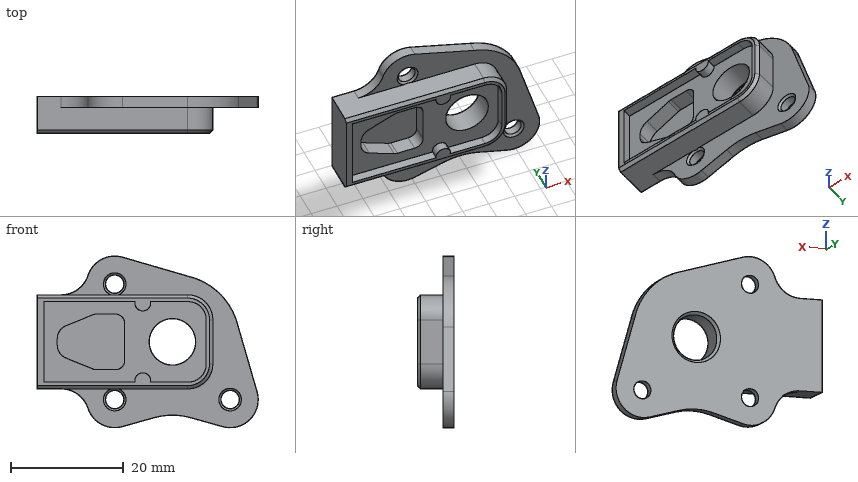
import cadquery as cq
import math

length = 39.25
height = 30.5
total_depth = 6.55
plate_depth = 2.0

ear_offset = 10.25
ear_radius = height / 2 - ear_offset
left_end = ear_offset + ear_radius - length
shoulder_radius = 12.0
shoulder_end_angle = math.radians(12.8)
waist_radius = 12.0
waist_height = -13.05
screw_diameter = 3.2
screw_chamfer = 0.4
bore_diameter = 8.2
bore_chamfer = 0.5

body_height = 16.72
body_right = 7.2
body_corner_radius = 4.47
rim_chamfer = 0.6

tray_left = left_end + 1.2
tray_right = body_right - 1.18
tray_height = 14.3
tray_corner_radius = 3.2
tray_depth = 1.65
post_x = -5.25
post_z = 6.9
post_radius = 1.4

pocket_left = -20.45
pocket_right = -8.48
pocket_shoulder_x = -13.78
pocket_height = 9.9
pocket_nose_height = 4.47
pocket_depth = total_depth - plate_depth - tray_depth
pocket_corner_radius = 1.65
pocket_nose_radius = 2.5


def front_plane(y):
    """Sketch plane facing -Y, with local x, y along global X, Z."""
    return cq.Workplane("XZ", origin=(0, y, 0))


def polar(center, radius, angle):
    """Point on a circle at an angle in radians."""
    return (center[0] + radius * math.cos(angle), center[1] + radius * math.sin(angle))


def make_flange():
    top_ear = (-ear_offset, ear_offset)
    left_ear = (-ear_offset, -ear_offset)
    right_ear = (ear_offset, -ear_offset)
    half_body = body_height / 2

    blend_z = half_body + ear_radius
    blend_x = -ear_offset - math.sqrt((2 * ear_radius) ** 2 - (blend_z - ear_offset) ** 2)
    blend = (blend_x, blend_z)
    blend_angle = math.atan2(ear_offset - blend_z, -ear_offset - blend_x)
    blend_middle = polar(blend, ear_radius, (blend_angle - math.pi / 2) / 2)
    blend_ear = polar(blend, ear_radius, blend_angle)

    shoulder_top = polar((0, 0), shoulder_radius, math.pi / 2 - shoulder_end_angle)
    shoulder_side = polar((0, 0), shoulder_radius, shoulder_end_angle)
    shoulder_dx = shoulder_top[0] - top_ear[0]
    shoulder_dz = shoulder_top[1] - top_ear[1]
    turn = math.acos(ear_radius / math.hypot(shoulder_dx, shoulder_dz))
    top_normal = math.atan2(shoulder_dz, shoulder_dx) + turn
    side_normal = math.pi / 2 - top_normal

    waist = (0, waist_height - waist_radius)
    waist_dz = waist[1] + ear_offset
    waist_turn = math.acos((ear_radius + waist_radius) / math.hypot(ear_offset, waist_dz))
    ear_normal = math.atan2(waist_dz, ear_offset) - waist_turn
    waist_tangent = polar(waist, waist_radius, ear_normal + math.pi)
    left_tangent = polar(left_ear, ear_radius, ear_normal)

    def mirror_x(point):
        return (-point[0], point[1])

    def mirror_z(point):
        return (point[0], -point[1])

    far_angle = 3 * math.pi / 4
    return (
        front_plane(0)
        .moveTo(blend_x, half_body)
        .threePointArc(blend_middle, blend_ear)
        .threePointArc(polar(top_ear, ear_radius, far_angle), polar(top_ear, ear_radius, top_normal))
        .lineTo(*shoulder_top)
        .threePointArc(polar((0, 0), shoulder_radius, math.pi / 4), shoulder_side)
        .lineTo(*polar(right_ear, ear_radius, side_normal))
        .threePointArc(polar(right_ear, ear_radius, -math.pi / 4), mirror_x(left_tangent))
        .lineTo(*mirror_x(waist_tangent))
        .threePointArc((0, waist_height), waist_tangent)
        .lineTo(*left_tangent)
        .threePointArc(polar(left_ear, ear_radius, -far_angle), mirror_z(blend_ear))
        .threePointArc(mirror_z(blend_middle), (blend_x, -half_body))
        .close()
        .extrude(plate_depth)
    )


def rounded_block(left, right, block_height, corner_radius, y, depth):
    """Block extending from y toward -Y with only its right-hand corners rounded."""
    return (
        front_plane(y)
        .center((left + right) / 2, 0)
        .rect(right - left, block_height)
        .extrude(depth)
        .edges("|Y and >X")
        .fillet(corner_radius)
    )


def make_housing():
    housing = rounded_block(left_end, body_right, body_height, body_corner_radius, 0, total_depth)
    return housing.faces("<Y").edges("not <X").chamfer(rim_chamfer)


def make_tray():
    tray = rounded_block(
        tray_left, tray_right, tray_height, tray_corner_radius, -total_depth, -tray_depth
    )
    posts = (
        front_plane(-total_depth)
        .pushPoints([(post_x, post_z), (post_x, -post_z)])
        .circle(post_radius)
        .extrude(-tray_depth)
    )
    return tray.cut(posts)


def make_pocket():
    half_height = pocket_height / 2
    half_nose = pocket_nose_height / 2
    outline = [
        (pocket_left, half_nose),
        (pocket_shoulder_x, half_height),
        (pocket_right, half_height),
        (pocket_right, -half_height),
        (pocket_shoulder_x, -half_height),
        (pocket_left, -half_nose),
    ]
    pocket = front_plane(tray_depth - total_depth).polyline(outline).close().extrude(-pocket_depth)
    pocket = pocket.edges("|Y and <X").fillet(pocket_nose_radius)
    shoulders = cq.selectors.BoxSelector(
        (pocket_left / 2 + pocket_right / 2, -total_depth, -height),
        (body_right, 0, height),
    )
    return pocket.edges("|Y").edges(shoulders).fillet(pocket_corner_radius)


def make_screw_hole(x, z):
    """Through hole with a chamfered mouth on the flange front."""
    hole = front_plane(0).center(x, z).circle(screw_diameter / 2).extrude(plate_depth)
    mouth = (
        front_plane(-plate_depth)
        .center(x, z)
        .circle(screw_diameter / 2 + screw_chamfer)
        .workplane(offset=-screw_chamfer)
        .circle(screw_diameter / 2)
        .loft()
    )
    return hole.union(mouth)


flange = make_flange()
for screw_x, screw_z in [
    (-ear_offset, ear_offset),
    (-ear_offset, -ear_offset),
    (ear_offset, -ear_offset),
]:
    flange = flange.cut(make_screw_hole(screw_x, screw_z))

bore = front_plane(0).circle(bore_diameter / 2).extrude(total_depth)
bore_mouth = (
    front_plane(0)
    .circle(bore_diameter / 2 + bore_chamfer)
    .workplane(offset=bore_chamfer)
    .circle(bore_diameter / 2)
    .loft()
)
bore = bore.union(bore_mouth)

result = flange.union(make_housing()).cut(make_tray()).cut(make_pocket()).cut(bore)